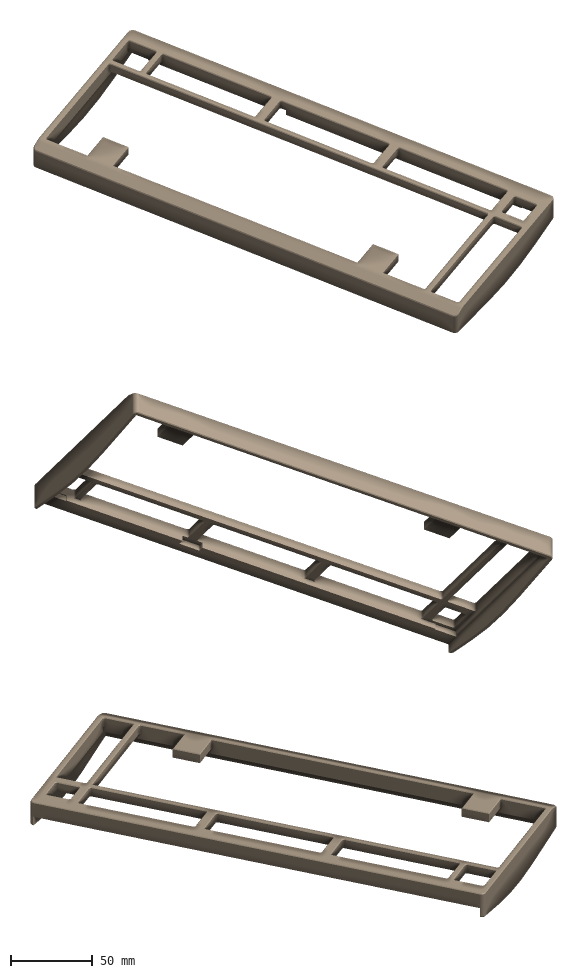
import cadquery as cq


LENGTH = 299.46
WIDTH = 120.96
HEIGHT = 23.63
CORNER_RADIUS = 3.0

KEY_UNIT = 19.05
KEY_CLEARANCE = 0.5
COLUMNS = 15.25
ROWS = 5.25
MAIN_COLUMNS = 14
MAIN_ROWS = 4
FUNCTION_ROW = 4.25
FUNCTION_GROUP_STARTS = [1.25, 5.625, 10]
FUNCTION_GROUP_COLUMNS = 4
SIDE_COLUMN = 14.25
KNOB_OPENING = 16.0
OPENING_RADIUS = 2.53 / 2
BLOCKER_COLUMNS = [1.5, 11.5]

WEB_THICKNESS = 6.4
RIM_THICKNESS = 10.2
SIDE_WALL = 2.5

PORT_COLUMN = 5.4375
PORT_WIDTH = 14.4
PORT_DEPTH = 3.6
CORNER_NOTCH_X = 131.7
CORNER_NOTCH_DEPTH = 0.6

FRONT_TOP_Z = -2.8
FRONT_BOTTOM_Z = -17.3
BACK_BOTTOM_Z = -16.6
BEVEL_START_Y = -52.6
BEVEL_BLEND_RADIUS = 7.0
BELLY_Y = 8.6
BELLY_RADIUS = 190.0
BELLY_OVERSHOOT = 1.98

EDGE_CHAMFER = 0.5
CHAMFER_ANGLE = 45

OVERCUT = 1.0
BELOW_PART = -HEIGHT - OVERCUT


def box(x_range, y_range, z_range):
    """Block spanning the given (low, high) limits."""
    size = [high - low for low, high in (x_range, y_range, z_range)]
    corner = (x_range[0], y_range[0], z_range[0])
    return cq.Workplane("XY").box(*size, centered=False).translate(corner)


def key_x(column):
    """X of a column line of the key field."""
    return (column - COLUMNS / 2) * KEY_UNIT


def key_y(row):
    """Y of a row line of the key field."""
    return (row - ROWS / 2) * KEY_UNIT


def key_field(column, row, columns, rows):
    """X and Y limits of a block of keys, with clearance all round."""
    x_range = (key_x(column) - KEY_CLEARANCE, key_x(column + columns) + KEY_CLEARANCE)
    y_range = (key_y(row) - KEY_CLEARANCE, key_y(row + rows) + KEY_CLEARANCE)
    return x_range, y_range


def knob_field():
    """X and Y limits of the knob opening, midway across its column and row."""
    x = (key_x(SIDE_COLUMN) + key_x(SIDE_COLUMN + 1)) / 2
    y = (key_y(FUNCTION_ROW) + key_y(FUNCTION_ROW + 1)) / 2
    reach = KNOB_OPENING / 2
    return (x - reach, x + reach), (y - reach, y + reach)


def opening(x_range, y_range):
    """Through opening with rounded vertical corners and a chamfered rim."""
    hole = box(x_range, y_range, (-HEIGHT, 0)).edges("|Z").fillet(OPENING_RADIUS)
    rim = hole.faces(">Z").wires().toPending().offset2D(EDGE_CHAMFER)
    rim = rim.extrude(-EDGE_CHAMFER, taper=CHAMFER_ANGLE)
    return hole.union(rim)


def make_body():
    """Solid body: the side outline run along X, with rounded vertical corners."""
    half = WIDTH / 2
    outline = [
        (-half, FRONT_BOTTOM_Z),
        (-half, FRONT_TOP_Z),
        (BEVEL_START_Y, 0),
        (half, 0),
        (half, BACK_BOTTOM_Z),
        (BELLY_Y, -HEIGHT - BELLY_OVERSHOOT),
    ]
    body = cq.Workplane("YZ").polyline(outline).close().extrude(LENGTH / 2, both=True)
    belly = cq.selectors.NearestToPointSelector((0, BELLY_Y, -HEIGHT - BELLY_OVERSHOOT))
    body = body.edges(belly).fillet(BELLY_RADIUS)
    bevel = cq.selectors.NearestToPointSelector((0, BEVEL_START_Y, 0))
    body = body.edges(bevel).fillet(BEVEL_BLEND_RADIUS)
    body = body.edges("|Z").fillet(CORNER_RADIUS)
    return body.faces("<X or >X or <Y or >Y").edges("not |Z").chamfer(EDGE_CHAMFER)


def make_openings():
    """All openings of the top face: the key blocks and the knob."""
    fields = [
        key_field(0, 0, MAIN_COLUMNS, MAIN_ROWS),
        key_field(SIDE_COLUMN, 0, 1, MAIN_ROWS),
        key_field(0, FUNCTION_ROW, 1, 1),
    ]
    for start in FUNCTION_GROUP_STARTS:
        fields.append(key_field(start, FUNCTION_ROW, FUNCTION_GROUP_COLUMNS, 1))
    fields.append(knob_field())
    cutters = cq.Workplane("XY")
    for x_range, y_range in fields:
        cutters = cutters.add(opening(x_range, y_range))
    return cutters.combine()


def make_blocker(column):
    """Block that fills the place of one key, level with the top face."""
    front = key_y(0) - KEY_CLEARANCE
    left = key_x(column) + KEY_CLEARANCE
    right = key_x(column + 1) - KEY_CLEARANCE
    back = key_y(1) - KEY_CLEARANCE
    blocker = box((left, right), (front - EDGE_CHAMFER, back), (-WEB_THICKNESS, 0))
    return blocker.faces(">Z").edges("not <Y").chamfer(EDGE_CHAMFER)


def make_notches(bar_front):
    """Port notch in the front face of the back bar and a shallow notch at each of its ends."""
    port_x = key_x(PORT_COLUMN)
    depth_range = (BELOW_PART, -WEB_THICKNESS)
    port_range = (port_x - PORT_WIDTH / 2, port_x + PORT_WIDTH / 2)
    notches = box(port_range, (bar_front - OVERCUT, bar_front + PORT_DEPTH), depth_range)
    inner = LENGTH / 2 - SIDE_WALL
    corner_y = (bar_front - OVERCUT, bar_front + CORNER_NOTCH_DEPTH)
    for x_range in ((-inner, -CORNER_NOTCH_X), (CORNER_NOTCH_X, inner)):
        notches = notches.union(box(x_range, corner_y, depth_range))
    return notches


def make_cavity():
    """Hollow underside, reaching up to the webs within the rim and open to the back below it."""
    inner = LENGTH / 2 - SIDE_WALL
    field_x, field_y = key_field(0, 0, COLUMNS, ROWS)
    front_inner = -WIDTH / 2 + SIDE_WALL
    under_webs = box(field_x, field_y, (BELOW_PART, -WEB_THICKNESS))
    under_rim = box((-inner, inner), (front_inner, WIDTH / 2), (BELOW_PART, -RIM_THICKNESS))
    notches = make_notches(field_y[1])
    return under_webs.union(under_rim).union(notches)


result = make_body().cut(make_openings()).cut(make_cavity())
for blocker_column in BLOCKER_COLUMNS:
    result = result.union(make_blocker(blocker_column))